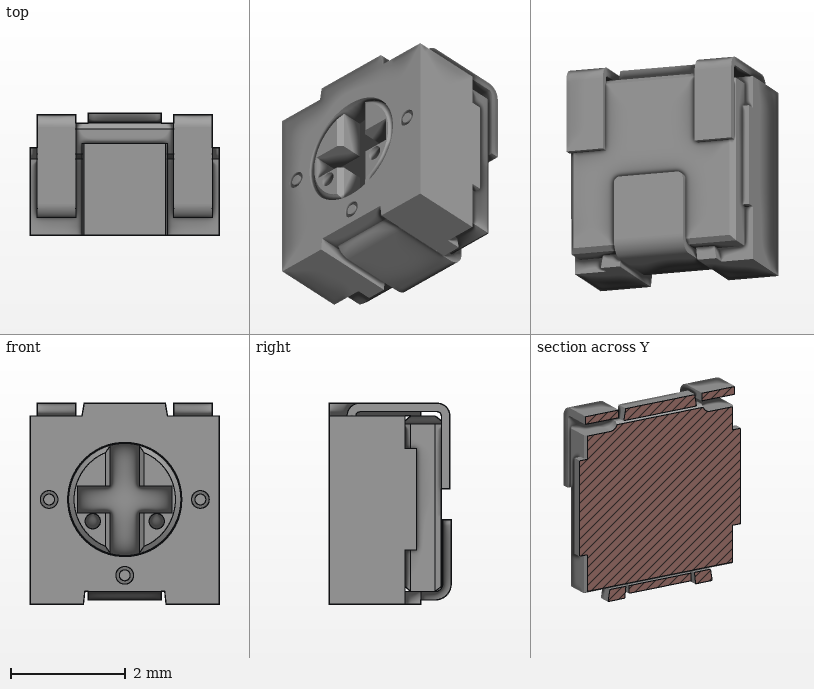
import cadquery as cq
import math


width = 3.3
height = 3.51
step = 0.225
housing_top = height - step
housing_depth = 1.327
tongue_depth = 1.6
tongue_half_top = 0.71
tongue_half_base = 0.748
notch_half_top = 0.695
notch_half_bottom = 0.72
foot_width = 0.35

tab_depth = 1.527
tab_bottom = 0.945
tab_top = 2.715

cover_half_width = 1.527
cover_back = 1.955
front_bevel = 0.095
back_bevel = 0.105
bevel_inset = 0.08
ledge_drop = 0.14
crown_half_width = 0.878

dial_z = 1.83
well_radius = 0.997
dial_radius = 0.98
dial_chamfer = 0.095
slot_depth = 0.49
well_depth = 0.525
tall_slot_width = 0.51
tall_slot_chamfer = 0.08
cross_slot_width = 0.465
cross_slot_length = 1.655
pin_hole_radius = 0.135
pin_hole_x = 0.558
pin_hole_drop = 0.38
pin_hole_depth = 0.385

ring_outer_radius = 0.155
ring_inner_radius = 0.095
ring_depth = 0.05
ring_x = 1.32
low_ring_z = 0.505

strip = 0.15
lead_front = 0.312
top_lead_x = 1.19
top_lead_width = 0.677
top_bend = 0.225
top_lead_end = 2.015
bottom_lead_width = 1.278
bottom_bend = 0.285
bottom_lead_back = 2.13
bottom_lead_end = 1.478
bottom_lead_corner = 0.105

diagonal = math.sqrt(0.5)


def box(x0, x1, y0, y1, z0, z1):
    """Box between two opposite corners."""
    return cq.Workplane("XY").box(x1 - x0, y1 - y0, z1 - z0, centered=False).translate((x0, y0, z0))


def prism(points, depth):
    """Closed X-Z polygon extruded from the face plane toward the back."""
    return cq.Workplane("XZ").polyline(points).close().extrude(-depth)


def disc(x, z, radius, depth):
    """Cylinder reaching from the face plane toward the back."""
    return cq.Workplane("XZ").center(x, z).circle(radius).extrude(-depth)


def make_housing():
    """Block with a tapered tongue on top, a tapered notch below, feet and side tabs."""
    half = width / 2
    body = box(-half, half, 0, housing_depth, 0, housing_top)
    body = body.union(box(-half, half, 0, tab_depth, tab_bottom, tab_top))

    body = body.union(prism([
        (-tongue_half_base, housing_top),
        (-tongue_half_top, height),
        (tongue_half_top, height),
        (tongue_half_base, housing_top),
    ], tongue_depth))

    foot_half = notch_half_bottom + foot_width
    foot_taper = tongue_half_base - tongue_half_top
    body = body.union(prism([
        (-foot_half, 0),
        (-foot_half + foot_taper, step),
        (foot_half - foot_taper, step),
        (foot_half, 0),
    ], tongue_depth))

    return body.cut(prism([
        (-notch_half_bottom, 0),
        (-notch_half_top, step),
        (notch_half_top, step),
        (notch_half_bottom, 0),
    ], tongue_depth))


def bevelled_section(plane, low, high):
    """Bevelled section of the cover, from low to high along the first axis of the plane."""
    return (
        cq.Workplane(plane)
        .polyline([
            (low + bevel_inset, housing_depth),
            (low, housing_depth + front_bevel),
            (low, cover_back - back_bevel),
            (low + bevel_inset, cover_back),
            (high - bevel_inset, cover_back),
            (high, cover_back - back_bevel),
            (high, housing_depth + front_bevel),
            (high - bevel_inset, housing_depth),
        ])
        .close()
    )


def make_cover():
    """Plate bevelled all round at front and back, with a ledge under each top lead."""
    upright = bevelled_section("ZY", step, housing_top).extrude(cover_half_width, both=True)
    level = bevelled_section("XY", -cover_half_width, cover_half_width).extrude(housing_top)
    plate = level.intersect(upright)

    ledge_z = housing_top - ledge_drop
    ledge_x = crown_half_width + ledge_drop
    ledge = (
        cq.Workplane("XZ")
        .moveTo(crown_half_width, housing_top)
        .threePointArc(
            (ledge_x - ledge_drop * diagonal, housing_top - ledge_drop * diagonal),
            (ledge_x, ledge_z),
        )
        .lineTo(cover_half_width, ledge_z)
        .lineTo(cover_half_width, housing_top)
        .close()
        .extrude(-cover_back)
    )
    return plate.cut(ledge).cut(ledge.mirror("YZ"))


def make_dial_cut():
    """Well around the dial together with the screwdriver slots and pin holes."""
    dial = disc(0, dial_z, dial_radius, well_depth).faces("<Y").chamfer(dial_chamfer)

    half = tall_slot_width / 2
    mouth = half + tall_slot_chamfer
    tall_slot = (
        cq.Workplane("XY")
        .polyline([
            (-mouth, 0),
            (-half, tall_slot_chamfer),
            (-half, slot_depth),
            (half, slot_depth),
            (half, tall_slot_chamfer),
            (mouth, 0),
        ])
        .close()
        .extrude(2 * dial_radius)
        .translate((0, 0, dial_z - dial_radius))
    )
    dial = dial.cut(tall_slot)

    half_length = cross_slot_length / 2
    half_width = cross_slot_width / 2
    dial = dial.cut(box(-half_length, half_length, 0, slot_depth, dial_z - half_width, dial_z + half_width))
    for side in (-1, 1):
        dial = dial.cut(disc(side * pin_hole_x, dial_z - pin_hole_drop, pin_hole_radius, pin_hole_depth))
    return disc(0, dial_z, well_radius, well_depth).cut(dial)


def make_ring(x, z):
    """Shallow round groove in the face."""
    return disc(x, z, ring_outer_radius, ring_depth).cut(disc(x, z, ring_inner_radius, ring_depth))


def make_lead(x, lead_width, back, bend, edge_z, end_z, root_z, inward):
    """Strip bent from the housing, along the outside at edge_z, and over the back to end_z.

    inward is -1 when the part lies below the strip and +1 when it lies above it.
    """
    inner_bend = bend - strip
    centre_z = edge_z + inward * bend
    front_centre = lead_front + bend
    back_centre = back - bend

    def arc_point(centre_y, outward, radius):
        return (centre_y + outward * radius * diagonal, centre_z - inward * radius * diagonal)

    inner_z = edge_z + inward * strip
    outline = (
        cq.Workplane("YZ")
        .moveTo(lead_front, root_z)
        .lineTo(lead_front, centre_z)
        .threePointArc(arc_point(front_centre, -1, bend), (front_centre, edge_z))
        .lineTo(back_centre, edge_z)
        .threePointArc(arc_point(back_centre, 1, bend), (back, centre_z))
        .lineTo(back, end_z)
        .lineTo(back - strip, end_z)
        .lineTo(back - strip, centre_z)
        .threePointArc(arc_point(back_centre, 1, inner_bend), (back_centre, inner_z))
        .lineTo(front_centre, inner_z)
        .threePointArc(arc_point(front_centre, -1, inner_bend), (lead_front + strip, centre_z))
        .lineTo(lead_front + strip, root_z)
        .close()
    )
    return outline.extrude(lead_width).translate((x - lead_width / 2, 0, 0))


result = make_housing().union(make_cover()).cut(make_dial_cut())

for ring_place in ((-ring_x, dial_z), (ring_x, dial_z), (0, low_ring_z)):
    result = result.cut(make_ring(*ring_place))

top_lead_back = cover_back + strip
top_lead_root = housing_top - strip
for side in (-1, 1):
    result = result.union(make_lead(
        side * top_lead_x, top_lead_width, top_lead_back, top_bend,
        height, top_lead_end, top_lead_root, -1,
    ))

bottom_lead_edge = step - strip
bottom_lead_root = bottom_lead_edge + bottom_bend + strip
bottom_lead = make_lead(
    0, bottom_lead_width, bottom_lead_back, bottom_bend,
    bottom_lead_edge, bottom_lead_end, bottom_lead_root, 1,
)
bottom_lead = bottom_lead.edges("|Y and >Z").fillet(bottom_lead_corner)
result = result.union(bottom_lead)